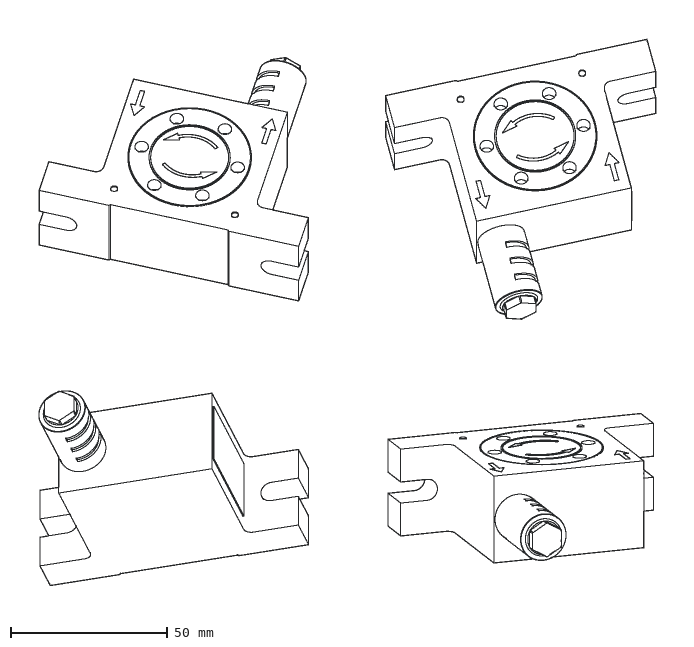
import cadquery as cq
import math

foot_length = 86.0
foot_height = 11.95
block_width = 51.0
block_top = 51.0
thickness = 29.0
corner_radius = 2.5
top_face = thickness / 2

slot_width = 7.0
slot_depth = 12.5

relief_width = 39.7
relief_depth = 0.4

plate_length = 35.0
plate_height = 20.0
plate_rise = 0.35
plate_center_y = 32.5
plate_corner_radius = 0.3

cover_center_y = 25.45
cover_radius = 19.8
cover_bevel = 0.35
ring_radius = 13.0
ring_width = 0.5
ring_depth = 0.3
cover_hole_count = 6
cover_hole_diameter = 4.3
cover_hole_circle_radius = 15.9
cover_hole_depth = 5.2

dimple_spacing = 40.0
dimple_y = 7.0
dimple_diameter = 2.2
dimple_angle = 90.0
dimple_straight_depth = 0.5

engraving_depth = 0.1
arrow_length = 10.2
arrow_width = 4.65
arrow_head_length = 4.2
arrow_shaft_width = 1.5
arrow_center_x = 21.5
arrow_center_y = 42.05

bend_center_offset = 2.6
bend_inner_radius = 10.6
bend_outer_radius = 11.6
bend_tail_angle = 48.6
bend_neck_angle = 120.0
barb_overhang = 0.9
bend_tip_radius = 12.2
bend_tip_angle = 144.5
lower_arrow_shift = 1.0

silencer_x = 17.5
silencer_radius = 7.7
silencer_end = 75.3
base_bevel_length = 0.5
end_bevel_length = 0.3
end_bevel_radial = 0.1
groove_count = 3
groove_width = 2.0
groove_depth = 0.8
groove_pitch = 6.0
first_groove_center = 58.0
collar_base_radius = 6.2
collar_top_radius = 5.6
collar_height = 0.6
hex_across_flats = 10.0
hex_corner_diameter = 11.3
hex_bevel_length = 0.5
hex_bevel_radial = 0.1
hex_end = 78.5


def bend_point(radius, angle):
    """Point at a radius and an angle in degrees about the centre of a curved arrow's arcs."""
    turn = math.radians(angle)
    return (radius * math.cos(turn), radius * math.sin(turn) - bend_center_offset)


def make_profile():
    """Foot and block, with rounded inside corners."""
    foot = cq.Workplane("XY").box(foot_length, foot_height, thickness, centered=(True, False, True))
    block = cq.Workplane("XY").box(block_width, block_top, thickness, centered=(True, False, True))
    reach_x = block_width / 2 + corner_radius
    reach_y = corner_radius
    inside_corners = cq.selectors.BoxSelector(
        (-reach_x, foot_height - reach_y, -top_face),
        (reach_x, foot_height + reach_y, top_face),
    )
    return foot.union(block).edges("|Z").edges(inside_corners).fillet(corner_radius)


def make_foot_slots():
    """Round-ended slots open to both ends of the foot, running along Y."""
    ends = [(-foot_length / 2, 0), (foot_length / 2, 0)]
    return (
        cq.Workplane("XZ")
        .pushPoints(ends)
        .slot2D(2 * slot_depth, slot_width)
        .extrude(-foot_height)
    )


def make_relief():
    """Shallow trapezoidal relief across the underside."""
    outer = relief_width / 2
    inner = outer - relief_depth
    return (
        cq.Workplane("XY")
        .polyline([(-outer, 0), (outer, 0), (inner, relief_depth), (-inner, relief_depth)])
        .close()
        .extrude(top_face, both=True)
    )


def make_plate():
    """Raised name plate on the -X side."""
    return (
        cq.Workplane("YZ", origin=(-block_width / 2, plate_center_y, 0))
        .rect(plate_length, plate_height)
        .extrude(-plate_rise)
        .edges("|X")
        .fillet(plate_corner_radius)
    )


def make_cover_edge():
    """Groove with an upright outer wall and a bevelled inner wall around the cover."""
    return (
        cq.Workplane("XZ", origin=(0, cover_center_y, 0))
        .polyline([
            (cover_radius - cover_bevel, top_face),
            (cover_radius, top_face),
            (cover_radius, top_face - cover_bevel),
        ])
        .close()
        .revolve(360, (0, 0, 0), (0, 1, 0))
    )


def make_cover_ring():
    """Narrow square groove around the middle of the cover."""
    return (
        cq.Workplane("XY", origin=(0, cover_center_y, top_face))
        .circle(ring_radius)
        .circle(ring_radius - ring_width)
        .extrude(-ring_depth)
    )


def make_cover_holes():
    """Blind holes evenly spaced on a circle in the cover."""
    return (
        cq.Workplane("XY", origin=(0, cover_center_y, top_face))
        .polarArray(cover_hole_circle_radius, 0, 360, cover_hole_count)
        .circle(cover_hole_diameter / 2)
        .extrude(-cover_hole_depth)
    )


def make_dimple(x):
    """Small blind hole in the top face, straight at first and then conical."""
    radius = dimple_diameter / 2
    cone_depth = radius / math.tan(math.radians(dimple_angle / 2))
    return (
        cq.Workplane("XZ", origin=(x, dimple_y, top_face))
        .polyline([
            (0, 0),
            (radius, 0),
            (radius, -dimple_straight_depth),
            (0, -dimple_straight_depth - cone_depth),
        ])
        .close()
        .revolve(360, (0, 0, 0), (0, 1, 0))
    )


def make_straight_arrow(x, direction):
    """Engraving of an arrow along Y; direction is 1 towards +Y and -1 towards -Y."""
    tail = -arrow_length / 2
    tip = arrow_length / 2
    neck = tip - arrow_head_length
    shaft = arrow_shaft_width / 2
    barb = arrow_width / 2
    outline = [
        (-shaft, tail),
        (-shaft, neck),
        (-barb, neck),
        (0, tip),
        (barb, neck),
        (shaft, neck),
        (shaft, tail),
    ]
    points = [(px, direction * py) for px, py in outline]
    return (
        cq.Workplane("XY", origin=(x, arrow_center_y, top_face))
        .polyline(points)
        .close()
        .extrude(-engraving_depth)
    )


def make_curved_arrow(turn, shift):
    """Engraving of a bent arrow, turned about the cover centre in degrees and then shifted along Y."""
    middle = (bend_tail_angle + bend_neck_angle) / 2
    return (
        cq.Workplane("XY", origin=(0, cover_center_y + shift, top_face))
        .transformed(rotate=(0, 0, turn))
        .moveTo(*bend_point(bend_inner_radius, bend_tail_angle))
        .lineTo(*bend_point(bend_outer_radius, bend_tail_angle))
        .threePointArc(bend_point(bend_outer_radius, middle), bend_point(bend_outer_radius, bend_neck_angle))
        .lineTo(*bend_point(bend_outer_radius + barb_overhang, bend_neck_angle))
        .lineTo(*bend_point(bend_tip_radius, bend_tip_angle))
        .lineTo(*bend_point(bend_inner_radius - barb_overhang, bend_neck_angle))
        .lineTo(*bend_point(bend_inner_radius, bend_neck_angle))
        .threePointArc(bend_point(bend_inner_radius, middle), bend_point(bend_inner_radius, bend_tail_angle))
        .close()
        .extrude(-engraving_depth)
    )


def make_housing():
    """Housing with its slots, name plate, cover details and engraved arrows."""
    housing = make_profile().union(make_plate())
    cuts = [
        make_foot_slots(),
        make_relief(),
        make_cover_edge(),
        make_cover_ring(),
        make_cover_holes(),
        make_dimple(-dimple_spacing / 2),
        make_dimple(dimple_spacing / 2),
        make_straight_arrow(-arrow_center_x, -1),
        make_straight_arrow(arrow_center_x, 1),
        make_curved_arrow(0, 0),
        make_curved_arrow(180, lower_arrow_shift),
    ]
    for cut in cuts:
        housing = housing.cut(cut)
    return housing


def make_barrel():
    """Silencer barrel with bevelled ends and a conical collar, turned about its axis along Y."""
    end_radius = silencer_radius - end_bevel_radial
    collar_top = silencer_end + collar_height
    return (
        cq.Workplane("XY", origin=(silencer_x, 0, 0))
        .polyline([
            (0, block_top),
            (end_radius, block_top),
            (silencer_radius, block_top + base_bevel_length),
            (silencer_radius, silencer_end - end_bevel_length),
            (end_radius, silencer_end),
            (collar_base_radius, silencer_end),
            (collar_top_radius, collar_top),
            (0, collar_top),
        ])
        .close()
        .revolve(360, (0, 0, 0), (0, 1, 0))
    )


def make_half_groove(center_y):
    """Groove around the -X half of the barrel."""
    ring = (
        cq.Workplane("XZ", origin=(silencer_x, center_y - groove_width / 2, 0))
        .circle(silencer_radius)
        .circle(silencer_radius - groove_depth)
        .extrude(-groove_width)
    )
    half_box = cq.Workplane("XY").box(
        silencer_radius, groove_width, 2 * silencer_radius, centered=(False, True, True)
    )
    return ring.intersect(half_box.translate((silencer_x - silencer_radius, center_y, 0)))


def make_hex():
    """Hexagon on the end of the silencer, flats on the X sides, corners rounded, end bevelled."""
    start = silencer_end + collar_height
    length = hex_end - start
    base = cq.Workplane("XZ", origin=(silencer_x, start, 0))
    hexagon = (
        base.polygon(6, hex_across_flats, circumscribed=True)
        .extrude(-length)
        .faces(">Y")
        .chamfer(hex_bevel_length, hex_bevel_radial)
    )
    return hexagon.intersect(base.circle(hex_corner_diameter / 2).extrude(-length))


def make_silencer():
    """Silencer with half grooves and a hexagon end."""
    silencer = make_barrel().union(make_hex())
    for index in range(groove_count):
        silencer = silencer.cut(make_half_groove(first_groove_center + index * groove_pitch))
    return silencer


housing = make_housing()
silencer = make_silencer()
result = cq.Compound.makeCompound([housing.val(), silencer.val()])